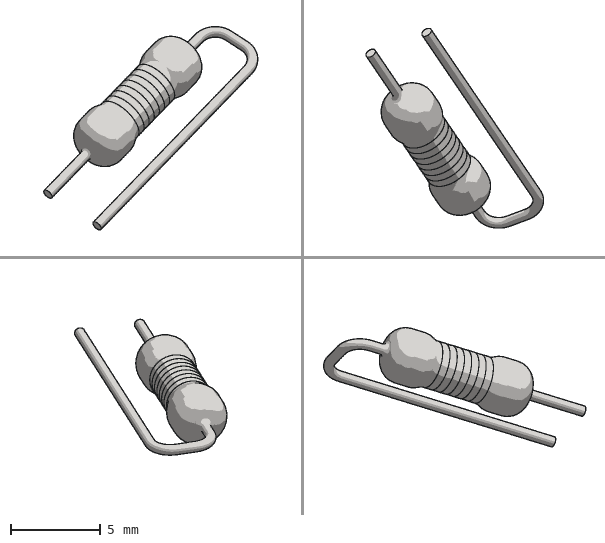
import cadquery as cq

wire_diameter = 0.6
wire_radius = wire_diameter / 2
total_length = 15.1
leg_spacing = 3.5
bend_radius = 1.18

body_center_y = 8.11
body_diameter = 3.2
neck_diameter = 2.72
neck_half_length = 1.62
flare_length = 0.92
cap_cylinder_length = 0.86
dome_height = 1.09
wire_fillet_radius = 0.3

band_diameter = 2.73
band_count = 4
band_slots = 2 * band_count - 1
band_width = 2 * neck_half_length / band_slots

body_radius = body_diameter / 2
neck_radius = neck_diameter / 2
cap_start = neck_half_length + flare_length
cap_end = cap_start + cap_cylinder_length
shoulder = cap_end + dome_height
half_length = shoulder + wire_fillet_radius
flare_step = body_radius - neck_radius
flare_radius = (flare_length**2 + flare_step**2) / (4 * flare_step)


def make_end_cap(direction):
    """Revolve the flared, domed end of the body towards +Y (1) or -Y (-1)."""
    fillet_edge = wire_radius + wire_fillet_radius
    flare_middle = (neck_radius + flare_step / 2, neck_half_length + flare_length / 2)
    profile = (
        cq.Workplane("XY")
        .moveTo(0, neck_half_length)
        .lineTo(neck_radius, neck_half_length)
        .radiusArc(flare_middle, flare_radius)
        .tangentArcPoint((body_radius, cap_start), relative=False)
        .lineTo(body_radius, cap_end)
        .tangentArcPoint((fillet_edge, shoulder), relative=False)
        .radiusArc((wire_radius, half_length), wire_fillet_radius)
        .lineTo(0, half_length)
        .close()
    )
    cap = profile.revolve(360, (0, 0, 0), (0, 1, 0))
    if direction < 0:
        cap = cap.mirror("XZ")
    return cap.translate((0, body_center_y, 0))


def make_neck():
    """Make the plain cylinder between the two end caps."""
    return (
        cq.Workplane("XZ", origin=(0, body_center_y - neck_half_length, 0))
        .circle(neck_radius)
        .extrude(-2 * neck_half_length)
    )


def make_band(index):
    """Make one colour band as a disc on the body axis."""
    start_y = body_center_y - neck_half_length + 2 * index * band_width
    return (
        cq.Workplane("XZ", origin=(0, start_y, 0))
        .circle(band_diameter / 2)
        .extrude(-band_width)
    )


def make_wire():
    """Sweep the wire up through the body, round both bends and back down."""
    crest_y = total_length - wire_radius
    bend_start_y = crest_y - bend_radius
    path = (
        cq.Workplane("XY")
        .lineTo(0, bend_start_y)
        .radiusArc((bend_radius, crest_y), bend_radius)
        .lineTo(leg_spacing - bend_radius, crest_y)
        .radiusArc((leg_spacing, bend_start_y), bend_radius)
        .lineTo(leg_spacing, 0)
    )
    return cq.Workplane("XZ").circle(wire_radius).sweep(path)


result = make_neck().union(make_end_cap(1)).union(make_end_cap(-1))
for band in range(band_count):
    result = result.union(make_band(band))
result = result.union(make_wire())